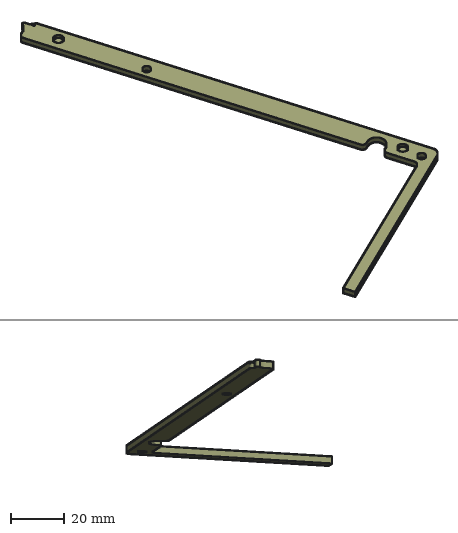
import cadquery as cq

length = 170.8
height = 80.1
thickness = 2.7
bar_width = 9.0
arm_width = 5.0
outer_corner_radius = 2.7
inner_corner_radius = 1.7

notch_x = 147.5
notch_radius = 3.8
notch_top = 2.9
notch_mouth_radius = 1.7

tip_y = -2.4
tip_radius = 0.7
hook_top = 1.5
hook_neck_x = 1.7
hook_neck_y = -5.5
flank_bulge = 0.2
end_corner_radius = 1.7
shoulder_x = 2.7
shoulder_radius = 1.4

step_end_x = 4.5
step_depth = 0.7

blind_diameter = 4.1
blind_depth = 1.5
blind_xs = (15.7, 157.3)
blind_y = -4.3
through_diameter = 3.2
through_xs = (52.5, 165.5)
through_y = -5.3


def plate():
    """L-shaped plate with the concave hook at its left end."""
    arm_x = length - arm_width
    flank_start = (tip_radius, tip_y - tip_radius)
    flank_mid = (
        (tip_radius + hook_neck_x) / 2 + flank_bulge,
        (flank_start[1] + hook_neck_y) / 2 + flank_bulge,
    )
    outline = (
        cq.Workplane("XY")
        .moveTo(shoulder_x, 0)
        .lineTo(length, 0)
        .lineTo(length, -height)
        .lineTo(arm_x, -height)
        .lineTo(arm_x, -bar_width)
        .lineTo(hook_neck_x, -bar_width)
        .lineTo(hook_neck_x, hook_neck_y)
        .threePointArc(flank_mid, flank_start)
        .threePointArc((0, tip_y), (tip_radius, -hook_top))
        .lineTo(shoulder_x, -hook_top)
        .close()
    )
    return outline.extrude(-thickness)


def round_corner(body, x, y, radius):
    """Fillet the upright edge standing at (x, y)."""
    reach = 0.2
    box = cq.selectors.BoxSelector(
        (x - reach, y - reach, -thickness - reach), (x + reach, y + reach, reach)
    )
    return body.edges("|Z").edges(box).fillet(radius)


def notch():
    """Cutter for the notch: a half round with straight sides down to the bar edge."""
    centre_y = -notch_top - notch_radius
    return (
        cq.Workplane("XY")
        .moveTo(notch_x - notch_radius, -bar_width)
        .lineTo(notch_x - notch_radius, centre_y)
        .threePointArc((notch_x, -notch_top), (notch_x + notch_radius, centre_y))
        .lineTo(notch_x + notch_radius, -bar_width)
        .close()
        .extrude(-thickness)
    )


def hole(x, y, diameter, depth):
    """Cutter for a round hole sunk from the top face."""
    return cq.Workplane("XY").center(x, y).circle(diameter / 2).extrude(-depth)


result = plate().cut(notch())

for side in (-1, 1):
    result = round_corner(result, notch_x + side * notch_radius, -bar_width, notch_mouth_radius)
result = round_corner(result, length, 0, outer_corner_radius)
result = round_corner(result, length - arm_width, -bar_width, inner_corner_radius)
result = round_corner(result, hook_neck_x, -bar_width, end_corner_radius)
result = round_corner(result, shoulder_x, 0, shoulder_radius)

step = cq.Workplane("XY").box(step_end_x, hook_top, step_depth, centered=False)
result = result.cut(step.translate((0, -hook_top, -step_depth)))

for x in blind_xs:
    result = result.cut(hole(x, blind_y, blind_diameter, blind_depth))
for x in through_xs:
    result = result.cut(hole(x, through_y, through_diameter, thickness))